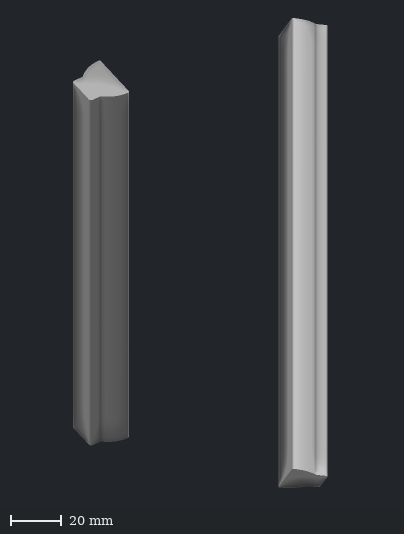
import cadquery as cq
import math

length = 190.5
head_width = 21.5
depth = 15.8
neck_width = 13.1

foot_radius = 1.05
throat_radius = 1.0
head_corner_radius = 0.8
flank_radius = 14.3

half_head = head_width / 2
half_neck = neck_width / 2
flank_start_y = depth - head_corner_radius
flank_center_x = half_head - flank_radius


def flank_point(x):
    """Point of the right flank arc at the given x."""
    drop = math.sqrt(flank_radius**2 - (x - flank_center_x) ** 2)
    return (x, flank_start_y - drop)


def mirrored(point):
    """Same point on the left half of the profile."""
    return (-point[0], point[1])


flank_end = flank_point(half_neck)
flank_middle = flank_point((half_neck + half_head) / 2)

profile = (
    cq.Workplane("XY")
    .moveTo(-half_neck, 0)
    .lineTo(half_neck, 0)
    .lineTo(*flank_end)
    .threePointArc(flank_middle, (half_head, flank_start_y))
    .radiusArc((half_head - head_corner_radius, depth), -head_corner_radius)
    .lineTo(head_corner_radius - half_head, depth)
    .radiusArc((-half_head, flank_start_y), -head_corner_radius)
    .threePointArc(mirrored(flank_middle), mirrored(flank_end))
    .close()
)
rail = profile.extrude(length)


def round_edge_pair(body, point, radius):
    """Round the lengthwise edges through a profile point and its mirror image."""
    for x, y in (point, mirrored(point)):
        edge = cq.selectors.NearestToPointSelector((x, y, length / 2))
        body = body.edges("|Z").edges(edge).fillet(radius)
    return body


rail = round_edge_pair(rail, (half_neck, 0), foot_radius)
result = round_edge_pair(rail, flank_end, throat_radius)